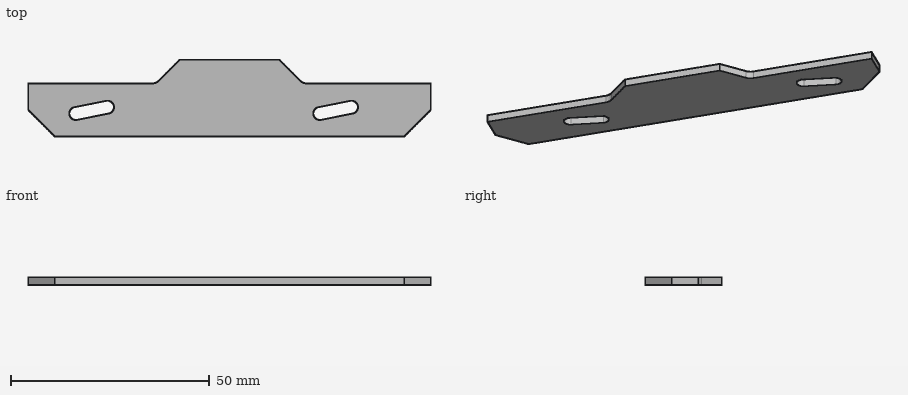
import cadquery as cq
import math

length = 101.5
total_width = 19.4
thickness = 2.0

tab_height = 6.0
tab_top_length = 25.0
tab_base_length = tab_top_length + 2 * tab_height
tab_root_radius = 2.5

body_width = total_width - tab_height
corner_chamfer = body_width / 2
half_length = length / 2

slot_width = 3.2
slot_run = 8.0
slot_rise = 1.6
slot_length = math.hypot(slot_run, slot_rise) + slot_width
slot_angle = math.degrees(math.atan2(slot_rise, slot_run))
slot_spacing = 61.5
slot_pair_center_x = -4.0
slot_center_y = 6.6

selection_margin = 0.1


def make_plate():
    """Bar with chamfered front corners and a trapezoidal tab, front edge on Y = 0."""
    outline = [
        (-half_length + corner_chamfer, 0),
        (half_length - corner_chamfer, 0),
        (half_length, corner_chamfer),
        (half_length, body_width),
        (tab_base_length / 2, body_width),
        (tab_top_length / 2, total_width),
        (-tab_top_length / 2, total_width),
        (-tab_base_length / 2, body_width),
        (-half_length, body_width),
        (-half_length, corner_chamfer),
    ]
    return cq.Workplane("XY").polyline(outline).close().extrude(thickness)


def round_tab_roots(plate):
    """Fillet the two inside corners where the tab slopes meet the back edge."""
    reach_x = tab_base_length / 2 + selection_margin
    root_edges = cq.selectors.BoxSelector(
        (-reach_x, body_width - selection_margin, 0),
        (reach_x, body_width + selection_margin, thickness),
    )
    return plate.edges(root_edges).fillet(tab_root_radius)


def cut_slots(plate):
    """Cut the two round-ended slots through the plate."""
    slot_centers = [
        (slot_pair_center_x + side * slot_spacing / 2, slot_center_y)
        for side in (-1, 1)
    ]
    slots = (
        cq.Workplane("XY")
        .pushPoints(slot_centers)
        .slot2D(slot_length, slot_width, slot_angle)
        .extrude(thickness)
    )
    return plate.cut(slots)


result = cut_slots(round_tab_roots(make_plate()))